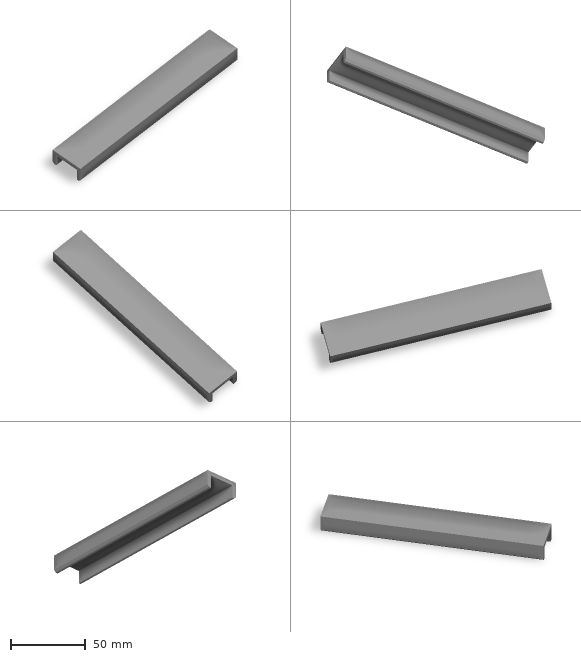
import cadquery as cq

length = 152.4
width = 25.5
height = 12.6
wall = 3.2
foot_chamfer = 1.5

inner_width = width - 2 * wall
inner_height = height - wall

bar = cq.Workplane("XY").box(width, length, height, centered=(True, True, False))
bar = bar.faces("<Z").edges("|Y").chamfer(foot_chamfer)

channel = cq.Workplane("XY").box(inner_width, length, inner_height, centered=(True, True, False))

result = bar.cut(channel)